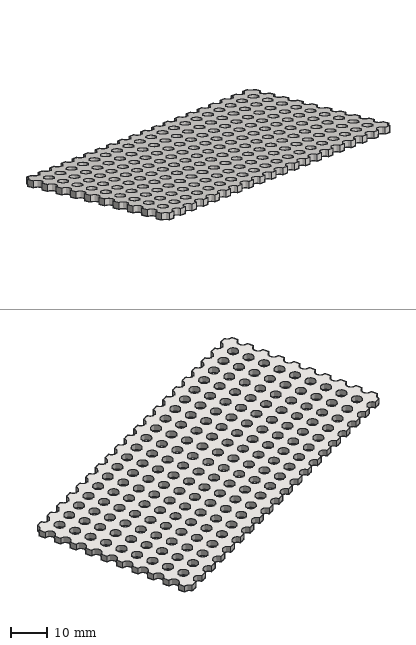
import cadquery as cq

pitch = 5.0
columns = 10
rows = 20
thickness = 2.0
hole_diameter = 3.0

width = columns * pitch
length = rows * pitch

plate = cq.Workplane("XY").box(width, length, thickness)

hole_cutters = (
    cq.Workplane("XY")
    .workplane(offset=-thickness / 2)
    .rarray(pitch, pitch, columns + 1, rows + 1)
    .circle(hole_diameter / 2)
    .extrude(thickness)
)

result = plate.cut(hole_cutters)